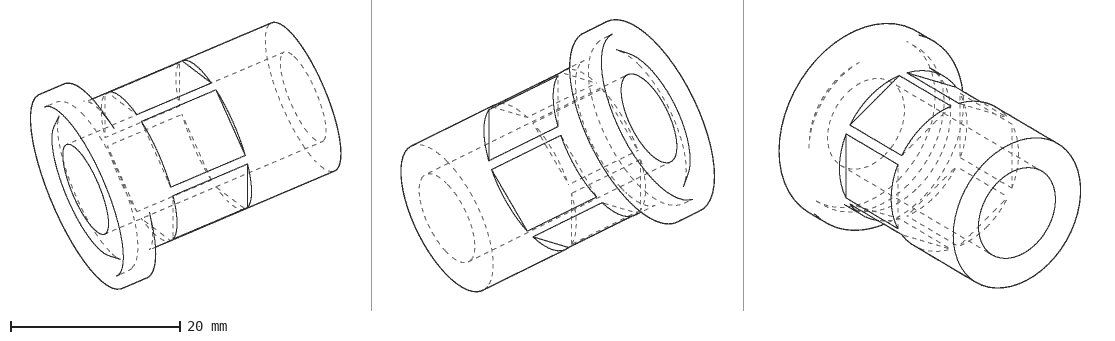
import cadquery as cq
import math

LENGTH = 30.0
BODY_RADIUS = 9.55
BORE_RADIUS = 5.75

FLANGE_RADIUS = 25.0 / 2
FLANGE_RIM_LENGTH = 3.6
FLANGE_BACK_ANGLE = math.radians(20)
FLANGE_EDGE_FILLET = 0.2
FLANGE_ROOT_FILLET = 0.55

FACE_RECESS = 0.85

GROOVE_OUTER_RADIUS = 10.85
GROOVE_INNER_RADIUS = 8.52
GROOVE_FLOOR_RADIUS = 0.75
GROOVE_WALL_ANGLE = math.radians(39)
GROOVE_OUTER_FILLET = 0.27
GROOVE_INNER_FILLET = 0.12

FLAT_COUNT = 6
FLAT_START = 8.0
FLAT_END = 18.0
ACROSS_FLATS = 17.07


def revolve_about_y(profile):
    return profile.close().revolve(360, (0, 0, 0), (0, 1, 0))


def make_body():
    """Turned tube with flange and rounded flange edges."""
    back_length = (FLANGE_RADIUS - BODY_RADIUS) * math.tan(FLANGE_BACK_ANGLE)
    cone_end = FLANGE_RIM_LENGTH + back_length
    body = revolve_about_y(
        cq.Workplane("XY")
        .moveTo(BORE_RADIUS, 0)
        .lineTo(FLANGE_RADIUS, 0)
        .lineTo(FLANGE_RADIUS, FLANGE_RIM_LENGTH)
        .lineTo(BODY_RADIUS, cone_end)
        .lineTo(BODY_RADIUS, LENGTH)
        .lineTo(BORE_RADIUS, LENGTH)
    )
    rim_edges = cq.selectors.RadiusNthSelector(-1)
    body = body.edges("%CIRCLE").edges(rim_edges).fillet(FLANGE_EDGE_FILLET)
    margin = 0.03
    root_box = cq.selectors.BoxSelector(
        (-FLANGE_RADIUS, cone_end - margin, -FLANGE_RADIUS),
        (FLANGE_RADIUS, cone_end + margin, FLANGE_RADIUS),
    )
    return body.edges("%CIRCLE").edges(root_box).fillet(FLANGE_ROOT_FILLET)


def make_groove():
    """Cutter for the recess and the ring groove, whose round floor is tangent to both groove walls."""
    sin_wall = math.sin(GROOVE_WALL_ANGLE)
    cos_wall = math.cos(GROOVE_WALL_ANGLE)
    floor_center = GROOVE_OUTER_RADIUS - GROOVE_FLOOR_RADIUS
    tangent_radius = floor_center - GROOVE_FLOOR_RADIUS * cos_wall
    wall_depth = (tangent_radius - GROOVE_INNER_RADIUS) / math.tan(GROOVE_WALL_ANGLE)
    tangent_depth = FACE_RECESS + wall_depth
    center_depth = tangent_depth - GROOVE_FLOOR_RADIUS * sin_wall
    return revolve_about_y(
        cq.Workplane("XY")
        .moveTo(0, 0)
        .lineTo(0, FACE_RECESS)
        .lineTo(GROOVE_INNER_RADIUS, FACE_RECESS)
        .lineTo(tangent_radius, tangent_depth)
        .threePointArc(
            (floor_center, center_depth + GROOVE_FLOOR_RADIUS),
            (GROOVE_OUTER_RADIUS, center_depth),
        )
        .lineTo(GROOVE_OUTER_RADIUS, 0)
    )


def round_groove_lip(part, lip_radius, fillet_radius):
    """Round the circular groove edge of the given radius."""
    lip_edges = part.edges("%CIRCLE").filter(
        lambda edge: math.isclose(edge.radius(), lip_radius, abs_tol=0.003)
    )
    lip = lip_edges.edges("<Y")
    return lip.fillet(fillet_radius)


def cut_flats(part):
    """Cut everything outside a hexagon, with flats facing +X and -X."""
    across_corners = ACROSS_FLATS / math.cos(math.pi / FLAT_COUNT)
    flat_length = FLAT_END - FLAT_START
    blank = cq.Workplane("XZ", origin=(0, FLAT_START, 0))
    hexagon = (
        blank.transformed(rotate=(0, 0, 180 / FLAT_COUNT))
        .polygon(FLAT_COUNT, across_corners)
        .extrude(-flat_length)
    )
    ring = blank.circle(FLANGE_RADIUS).extrude(-flat_length)
    return part.cut(ring.cut(hexagon))


result = make_body().cut(make_groove())
result = round_groove_lip(result, GROOVE_OUTER_RADIUS, GROOVE_OUTER_FILLET)
result = round_groove_lip(result, GROOVE_INNER_RADIUS, GROOVE_INNER_FILLET)
result = cut_flats(result)